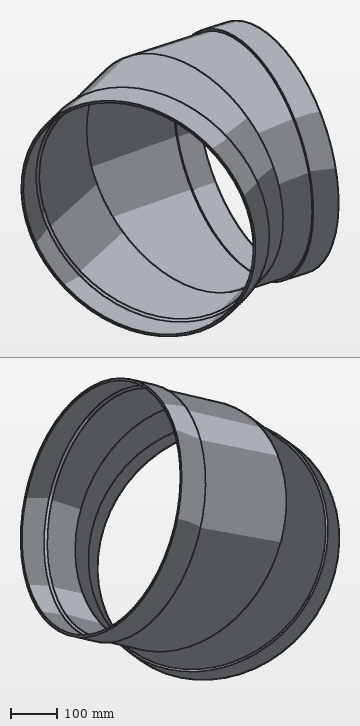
import cadquery as cq
import math

BEND_ANGLE = 30.0
LEG_LENGTH = 215.0
PIPE_BORE = 550.0
PIPE_DIAMETER = 560.0
SOCKET_DIAMETER = 570.0
SOCKET_LENGTH = 65.0
TAPER_LENGTH = 5.0

SOCKET_BORE = PIPE_DIAMETER
SOCKET_DEPTH = SOCKET_LENGTH - TAPER_LENGTH
MITRE_ANGLE = BEND_ANGLE / 2
MITRE_RISE = SOCKET_DIAMETER / 2 * math.tan(math.radians(MITRE_ANGLE))
BLANK_LENGTH = LEG_LENGTH + 2 * MITRE_RISE


def cylinder(diameter, length):
    """Cylinder from the open end of the leg, along +Y."""
    start = cq.Vector(0, -LEG_LENGTH, 0)
    return cq.Workplane(cq.Solid.makeCylinder(diameter / 2, length, start, cq.Vector(0, 1, 0)))


def socket_taper():
    """Cone from the straight socket bore down to the pipe bore, ending level with the socket."""
    start = cq.Vector(0, SOCKET_DEPTH - LEG_LENGTH, 0)
    cone = cq.Solid.makeCone(SOCKET_BORE / 2, PIPE_BORE / 2, TAPER_LENGTH, start, cq.Vector(0, 1, 0))
    return cq.Workplane(cone)


def mitre_waste():
    """Block on the far side of the mitre plane through the bend centre."""
    size = 2 * SOCKET_DIAMETER
    block = cq.Workplane("XY").box(size, size, size).translate((0, size / 2, 0))
    return block.rotate((0, 0, 0), (0, 0, 1), -MITRE_ANGLE)


def make_inlet_half():
    """Straight leg along Y, with a socket at its open end and a mitred inner end."""
    outside = cylinder(PIPE_DIAMETER, BLANK_LENGTH).union(cylinder(SOCKET_DIAMETER, SOCKET_LENGTH))
    hollow = outside.cut(cylinder(PIPE_BORE, BLANK_LENGTH))
    hollow = hollow.cut(cylinder(SOCKET_BORE, SOCKET_DEPTH)).cut(socket_taper())
    return hollow.cut(mitre_waste())


def make_outlet_half():
    """Mirror image of the inlet half in the mitre plane."""
    mirrored = make_inlet_half().mirror("XZ")
    return mirrored.rotate((0, 0, 0), (0, 0, 1), -BEND_ANGLE)


inlet_half = make_inlet_half()
outlet_half = make_outlet_half()

result = cq.Compound.makeCompound([inlet_half.val(), outlet_half.val()])